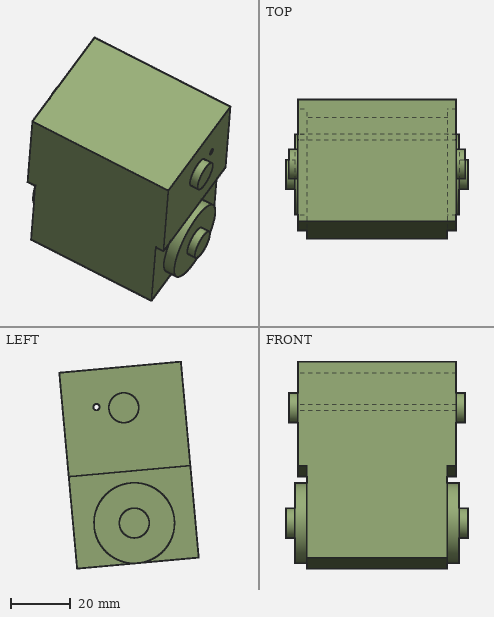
import cadquery as cq

tilt_angle = 5.2
block_depth = 41.0
block_height = 66.0
upper_height = 35.0
upper_width = 53.0
lower_width = 46.95

disc_diameter = 27.0
disc_span = 55.1
pin_diameter = 10.0
lower_pin_span = 61.0
upper_pin_span = 58.95
upper_pin_below_top = 13.7
hole_diameter = 2.0
hole_back_offset = 9.1
hole_above_pin = 1.05

bottom_z = -disc_diameter / 2
top_z = bottom_z + block_height
step_z = top_z - upper_height
upper_pin_z = top_z - upper_pin_below_top


def centered_block(width, z_low, z_high):
    """Box centred on X and Y between two heights."""
    return (
        cq.Workplane("XY", origin=(0, 0, z_low))
        .box(width, block_depth, z_high - z_low, centered=(True, True, False))
    )


def cross_cylinder(diameter, span, y, z):
    """Cylinder along X, extending equally to both sides."""
    return cq.Workplane("YZ").center(y, z).circle(diameter / 2).extrude(span / 2, both=True)


body = centered_block(upper_width, step_z, top_z)
body = body.union(centered_block(lower_width, bottom_z, step_z))

body = body.union(cross_cylinder(disc_diameter, disc_span, 0, 0))
body = body.union(cross_cylinder(pin_diameter, lower_pin_span, 0, 0))
body = body.union(cross_cylinder(pin_diameter, upper_pin_span, 0, upper_pin_z))

body = body.cut(
    cross_cylinder(hole_diameter, upper_width, hole_back_offset, upper_pin_z + hole_above_pin)
)

result = body.rotate((0, 0, 0), (1, 0, 0), -tilt_angle)